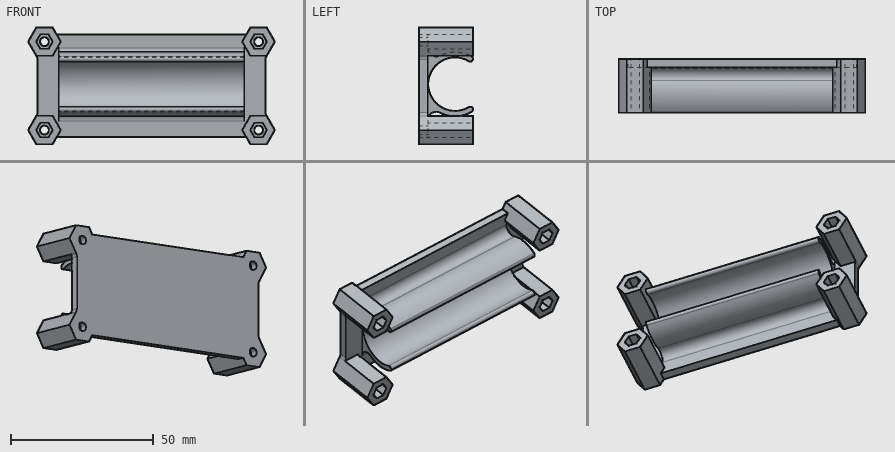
import cadquery as cq
import math


LENGTH = 86.6
POST_DEPTH = 19.0
POST_FLATS = 10.0
POST_SIDE = POST_FLATS * math.tan(math.radians(30))
POST_X = LENGTH / 2 - POST_SIDE
POST_Z = 15.5
SOCKET_FLATS = 5.0
HOLE_DIAMETER = 3.0

PLATE_LENGTH = 80.0
PLATE_HEIGHT = 36.0
PLATE_THICKNESS = 3.0
BLEND_HEIGHT = 1.2

CLIP_LENGTH = 65.05
BORE_RADIUS = 9.35
CLIP_WALL = 2.0
AXIS_TO_PLATE = 9.6
AXIS_Z = 0.6
ROOT_RADIUS = 3.0
LIP_ANGLE = 121.0

SIDES = (1, -1)
POST_CENTRES = [(x_side * POST_X, z_side * POST_Z) for x_side in SIDES for z_side in SIDES]


def front_plane(y=0.0):
    """Workplane with local axes X and Z, on which a positive extrusion goes towards -Y."""
    return cq.Workplane("XZ", origin=(0, y, 0))


def hex_prisms(flats, depth, y=0.0):
    """Hexagonal prisms at the post centres, with two corners on the X direction."""
    corners = flats / math.cos(math.radians(30))
    return front_plane(y).pushPoints(POST_CENTRES).polygon(6, corners).extrude(depth)


def make_plate():
    return front_plane().rect(PLATE_LENGTH, PLATE_HEIGHT).extrude(PLATE_THICKNESS)


def make_edge_blend(x_side, z_side):
    """Concave blend, tangent to the plate's end face and running out to a corner of the post."""
    edge_x = PLATE_LENGTH / 2
    corner_x = POST_X + POST_SIDE / 2
    corner_z = POST_Z - POST_FLATS / 2
    start_z = corner_z - BLEND_HEIGHT
    overhang = corner_x - edge_x
    radius = (overhang**2 + BLEND_HEIGHT**2) / (2 * overhang)
    half_angle = math.asin(BLEND_HEIGHT / radius) / 2
    middle_x = edge_x + radius * (1 - math.cos(half_angle))
    middle_z = start_z + radius * math.sin(half_angle)
    return (
        front_plane()
        .moveTo(x_side * edge_x, z_side * start_z)
        .threePointArc((x_side * middle_x, z_side * middle_z), (x_side * corner_x, z_side * corner_z))
        .lineTo(x_side * POST_X, z_side * corner_z)
        .lineTo(x_side * POST_X, z_side * start_z)
        .close()
        .extrude(PLATE_THICKNESS)
    )


def make_clip():
    """C-shaped clip with rounded lips, filleted into the front face of the plate."""
    outer_radius = BORE_RADIUS + CLIP_WALL
    axis_y = -PLATE_THICKNESS - AXIS_TO_PLATE

    root_offset = AXIS_TO_PLATE - ROOT_RADIUS
    root_angle = math.degrees(math.acos(root_offset / (outer_radius + ROOT_RADIUS)))
    root_y = axis_y + root_offset
    root_height = (outer_radius + ROOT_RADIUS) * math.sin(math.radians(root_angle))
    root_middle = math.radians(root_angle / 2)

    middle_radius = BORE_RADIUS + CLIP_WALL / 2
    lip_end_radius = math.hypot(middle_radius, CLIP_WALL / 2)
    lip_end_angle = LIP_ANGLE + math.degrees(math.atan2(CLIP_WALL / 2, middle_radius))

    def around_axis(radius, angle, side):
        turn = math.radians(angle)
        return (axis_y + radius * math.cos(turn), AXIS_Z + side * radius * math.sin(turn))

    def root_arc_middle(side):
        return (
            root_y + ROOT_RADIUS * math.cos(root_middle),
            AXIS_Z + side * (root_height - ROOT_RADIUS * math.sin(root_middle)),
        )

    outer_middle_angle = (root_angle + LIP_ANGLE) / 2
    top, bottom = SIDES
    profile = (
        cq.Workplane("YZ", origin=(-CLIP_LENGTH / 2, 0, 0))
        .moveTo(-PLATE_THICKNESS, AXIS_Z + root_height)
        .threePointArc(root_arc_middle(top), around_axis(outer_radius, root_angle, top))
        .threePointArc(
            around_axis(outer_radius, outer_middle_angle, top), around_axis(outer_radius, LIP_ANGLE, top)
        )
        .threePointArc(
            around_axis(lip_end_radius, lip_end_angle, top), around_axis(BORE_RADIUS, LIP_ANGLE, top)
        )
        .threePointArc(around_axis(BORE_RADIUS, 0, top), around_axis(BORE_RADIUS, LIP_ANGLE, bottom))
        .threePointArc(
            around_axis(lip_end_radius, lip_end_angle, bottom), around_axis(outer_radius, LIP_ANGLE, bottom)
        )
        .threePointArc(
            around_axis(outer_radius, outer_middle_angle, bottom),
            around_axis(outer_radius, root_angle, bottom),
        )
        .threePointArc(root_arc_middle(bottom), (-PLATE_THICKNESS, AXIS_Z - root_height))
        .close()
    )
    return profile.extrude(CLIP_LENGTH)


body = make_plate().union(make_clip()).union(hex_prisms(POST_FLATS, POST_DEPTH))
for x_side in SIDES:
    for z_side in SIDES:
        body = body.union(make_edge_blend(x_side, z_side))

sockets = hex_prisms(SOCKET_FLATS, POST_DEPTH - PLATE_THICKNESS, -PLATE_THICKNESS)
holes = front_plane().pushPoints(POST_CENTRES).circle(HOLE_DIAMETER / 2).extrude(POST_DEPTH)

result = body.cut(sockets).cut(holes)